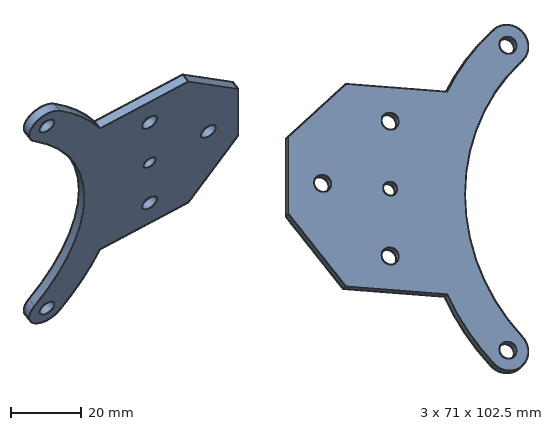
import cadquery as cq
import math

thickness = 3.0
overall_height = 102.5
overall_depth = 71.0

body_half_height = 30.0
back_y = 30.1
chamfer_start_y = 13.1
back_top_z = 13.1
back_bottom_z = -9.8

lug_radius = 6.0
lug_z = overall_height / 2 - lug_radius
lug_y = back_y - overall_depth + lug_radius
arm_angle = math.radians(45)
arm_mid_radius = lug_z / math.sin(arm_angle)
arm_inner_radius = arm_mid_radius - lug_radius
arm_outer_radius = arm_mid_radius + lug_radius
arc_center_y = lug_y - arm_mid_radius * math.cos(arm_angle)

mount_hole_diameter = 5.0
center_hole_diameter = 4.1
mount_hole_offset = 20.0


def arc_point(radius, angle):
    """Point (y, z) on a circle about the centre of the arms."""
    return (arc_center_y + radius * math.cos(angle), radius * math.sin(angle))


def lug_tip(side):
    """Outermost point of a lug, half way round its end; side is +1 or -1."""
    return (
        lug_y - lug_radius * math.sin(arm_angle),
        side * (lug_z + lug_radius * math.cos(arm_angle)),
    )


root_angle = math.asin(body_half_height / arm_outer_radius)
outer_mid_angle = (root_angle + arm_angle) / 2

plate = (
    cq.Workplane("YZ")
    .moveTo(chamfer_start_y, body_half_height)
    .lineTo(*arc_point(arm_outer_radius, root_angle))
    .threePointArc(
        arc_point(arm_outer_radius, outer_mid_angle),
        arc_point(arm_outer_radius, arm_angle),
    )
    .threePointArc(lug_tip(1), arc_point(arm_inner_radius, arm_angle))
    .threePointArc(
        arc_point(arm_inner_radius, 0),
        arc_point(arm_inner_radius, -arm_angle),
    )
    .threePointArc(lug_tip(-1), arc_point(arm_outer_radius, -arm_angle))
    .threePointArc(
        arc_point(arm_outer_radius, -outer_mid_angle),
        arc_point(arm_outer_radius, -root_angle),
    )
    .lineTo(chamfer_start_y, -body_half_height)
    .lineTo(back_y, back_bottom_z)
    .lineTo(back_y, back_top_z)
    .close()
    .extrude(thickness)
)


def through_holes(points, diameter):
    """Cylinders through the plate at the given (y, z) points."""
    return cq.Workplane("YZ").pushPoints(points).circle(diameter / 2).extrude(thickness)


mount_points = [
    (0, mount_hole_offset),
    (0, -mount_hole_offset),
    (mount_hole_offset, 0),
    (lug_y, lug_z),
    (lug_y, -lug_z),
]

result = (
    plate
    .cut(through_holes(mount_points, mount_hole_diameter))
    .cut(through_holes([(0, 0)], center_hole_diameter))
)